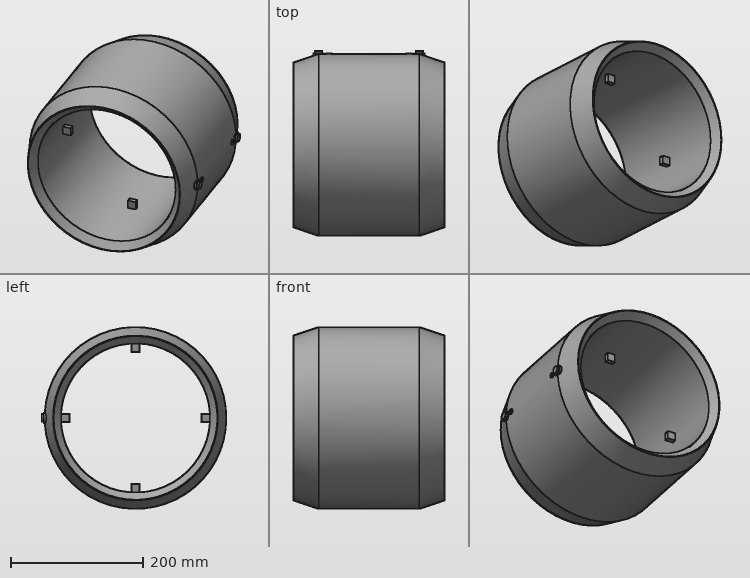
import cadquery as cq

length = 229.0
outer_diameter = 275.0
bore_diameter = 225.0
straight_length = 152.5
end_radius = 124.7
rim_width = 1.0
mouth_depth = 11.5

lug_width = 12.5
lug_tip_radius = 99.5
lug_length = 7.3
lug_root_depth = 2.8
lug_angles = (0, 90, 180, 270)

total_depth = 279.5
port_base_diameter = 16.0
port_cap_diameter = 12.0
disc_diameter = 8.0
disc_offset = 60.7
base_rise = 1.0
fitting_root_depth = 8.5

half_length = length / 2
half_straight = straight_length / 2
outer_radius = outer_diameter / 2
bore_radius = bore_diameter / 2
mouth_radius = end_radius - rim_width
mouth_bottom = half_length - mouth_depth
port_top = total_depth - outer_radius
base_top = outer_radius + base_rise


def make_sleeve():
    """Ring with tapered outer ends and tapered bore mouths."""
    profile = [
        (-half_length, mouth_radius),
        (-half_length, end_radius),
        (-half_straight, outer_radius),
        (half_straight, outer_radius),
        (half_length, end_radius),
        (half_length, mouth_radius),
        (mouth_bottom, bore_radius),
        (-mouth_bottom, bore_radius),
    ]
    return cq.Workplane("XY").polyline(profile).close().revolve(360, (0, 0, 0), (1, 0, 0))


def make_lug(angle):
    """Radial block rooted in the bore wall at the middle plane."""
    height = bore_radius + lug_root_depth - lug_tip_radius
    center_z = lug_tip_radius + height / 2
    lug = cq.Workplane("XY").box(lug_length, lug_width, height)
    return lug.translate((0, 0, center_z)).rotate((0, 0, 0), (1, 0, 0), angle)


def make_fitting(x, diameter, top):
    """Round pin along Y, from inside the wall out to the given Y position."""
    root = outer_radius - fitting_root_depth
    pin = cq.Workplane("XZ", origin=(x, root, 0)).circle(diameter / 2)
    return pin.extrude(root - top)


result = make_sleeve()
for angle in lug_angles:
    result = result.union(make_lug(angle))
for side in (-1, 1):
    port_x = side * half_straight
    result = result.union(make_fitting(port_x, port_base_diameter, base_top))
    result = result.union(make_fitting(port_x, port_cap_diameter, port_top))
    result = result.union(make_fitting(side * disc_offset, disc_diameter, base_top))